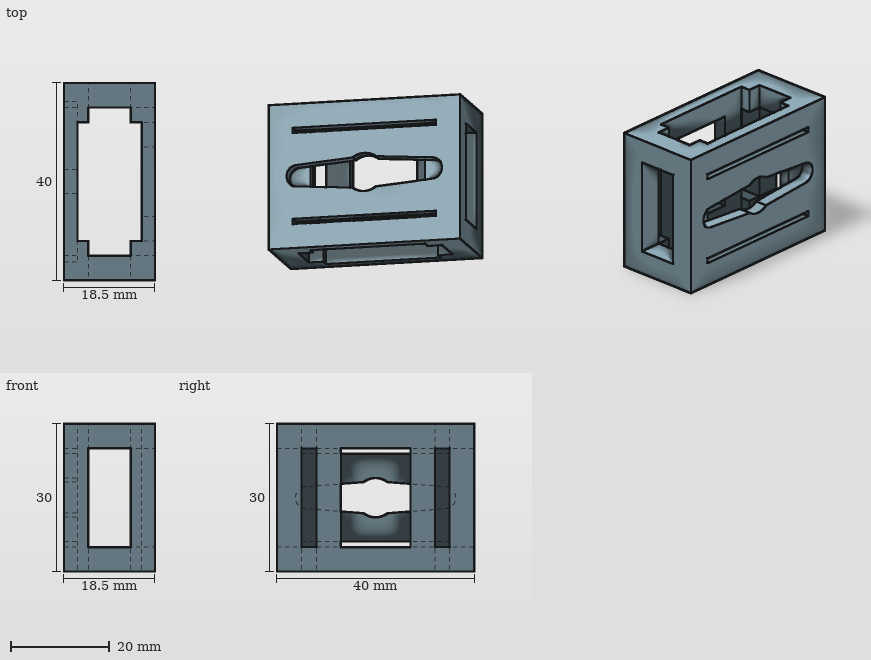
import cadquery as cq

WIDTH = 18.5
LENGTH = 40
HEIGHT = 30
MIDDLE_Z = HEIGHT / 2

RIM = 5.0
INNER_LENGTH = LENGTH - 2 * RIM
INNER_HEIGHT = HEIGHT - 2 * RIM

CAVITY_WIDTH = 12.95
CAVITY_LENGTH = 24
NARROW_WIDTH = 8.55
SIDE_WALL = (WIDTH - CAVITY_WIDTH) / 2

SIDE_WINDOW_LENGTH = 14.1

SLIT_HEIGHT = 1.1
LENS_LENGTH = 32.5
LENS_END_RADIUS = 2.25
LENS_SHOULDER_HEIGHT = 3.3
LENS_BULGE_RADIUS = 3.95


def centred_box(x_size, y_size, z_size, x=0, y=0, z=MIDDLE_Z):
    """Box given by its sizes and its centre."""
    return cq.Workplane("XY").box(x_size, y_size, z_size).translate((x, y, z))


def cavity():
    """Stepped opening that runs through the block along Z."""
    middle = centred_box(CAVITY_WIDTH, CAVITY_LENGTH, HEIGHT)
    notches = centred_box(NARROW_WIDTH, INNER_LENGTH, HEIGHT)
    return middle.union(notches)


def end_windows():
    """Rectangular passage through both end walls along Y."""
    return centred_box(NARROW_WIDTH, LENGTH, INNER_HEIGHT)


def side_window():
    """Rectangular opening from the cavity through the +X wall."""
    return centred_box(WIDTH / 2, SIDE_WINDOW_LENGTH, INNER_HEIGHT, x=WIDTH / 4)


def corner_window(side):
    """Opening through the +X wall beside a notch, at the +Y (side 1) or -Y (side -1) end."""
    x_size = (WIDTH - NARROW_WIDTH) / 2
    y_size = (INNER_LENGTH - CAVITY_LENGTH) / 2
    x_centre = (WIDTH + NARROW_WIDTH) / 4
    y_centre = side * (INNER_LENGTH + CAVITY_LENGTH) / 4
    return centred_box(x_size, y_size, INNER_HEIGHT, x=x_centre, y=y_centre)


def slit(side):
    """Thin slit, one side wall deep, in line with the top (side 1) or bottom of the end windows."""
    x_centre = (SIDE_WALL - WIDTH) / 2
    z_centre = MIDDLE_Z + side * (INNER_HEIGHT - SLIT_HEIGHT) / 2
    return centred_box(SIDE_WALL, INNER_LENGTH, SLIT_HEIGHT, x=x_centre, z=z_centre)


def lens_opening():
    """Tapered opening, one side wall deep, with round ends and a round bulge in the middle."""
    end_y = LENS_LENGTH / 2 - LENS_END_RADIUS
    plane = cq.Workplane("YZ", origin=(-WIDTH / 2, 0, MIDDLE_Z))
    taper = (
        plane.moveTo(-end_y, LENS_END_RADIUS)
        .lineTo(0, LENS_SHOULDER_HEIGHT)
        .lineTo(end_y, LENS_END_RADIUS)
        .threePointArc((LENS_LENGTH / 2, 0), (end_y, -LENS_END_RADIUS))
        .lineTo(0, -LENS_SHOULDER_HEIGHT)
        .lineTo(-end_y, -LENS_END_RADIUS)
        .threePointArc((-LENS_LENGTH / 2, 0), (-end_y, LENS_END_RADIUS))
        .close()
        .extrude(SIDE_WALL)
    )
    bulge = plane.circle(LENS_BULGE_RADIUS).extrude(SIDE_WALL)
    return taper.union(bulge)


result = centred_box(WIDTH, LENGTH, HEIGHT)
result = result.cut(cavity()).cut(end_windows()).cut(side_window()).cut(lens_opening())
for side in (-1, 1):
    result = result.cut(corner_window(side)).cut(slit(side))